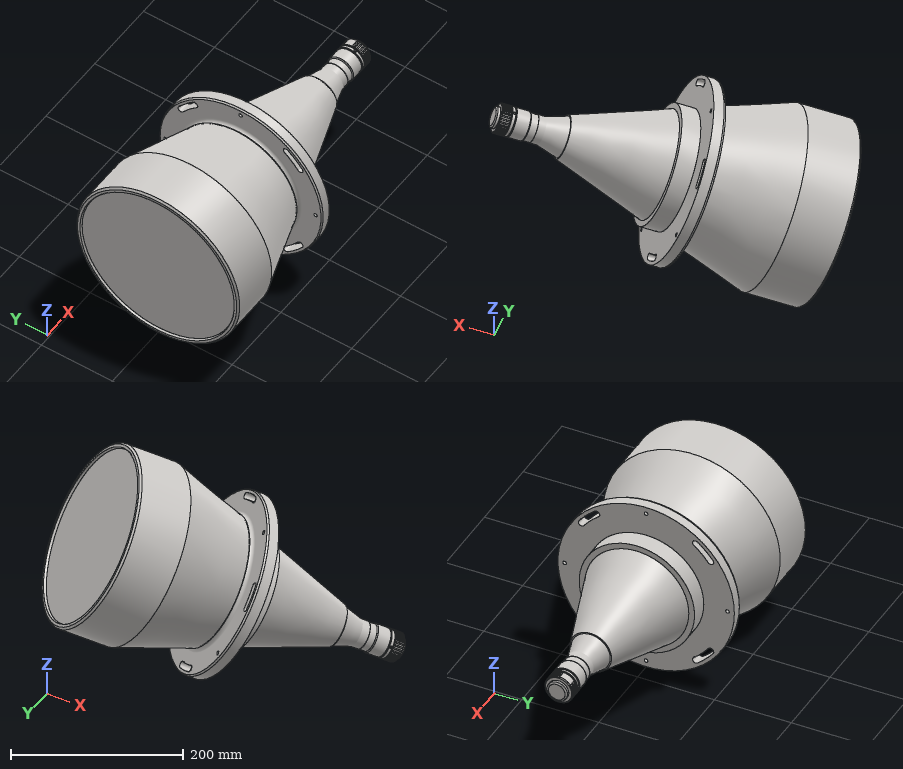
import cadquery as cq
import math

TOTAL_LENGTH = 417.0
OUTER_RADIUS = 230.0 / 2

LENS_RADIUS = 108.0
MOUTH_RADIUS = 109.0
LENS_RECESS = 3.5
LENS_THICKNESS = 8.5

FRONT_CYLINDER_END = 68.0
FRONT_CONE_END = 164.5
FRONT_CONE_END_RADIUS = 83.5
FRONT_CHAMFER = 2.5
FRONT_LIP_LENGTH = 1.3
HOUSING_END = FRONT_CONE_END + FRONT_LIP_LENGTH

NECK_RADIUS = 82.0
FLANGE_FRONT = 171.0
FLANGE_THICKNESS = 15.5
FLANGE_BACK = FLANGE_FRONT + FLANGE_THICKNESS
FLANGE_CHAMFER_LENGTH = 2.5
FLANGE_CHAMFER_DEPTH = 1.3
NECK_FILLET = 4.5
COLLAR_RADIUS = 75.0
COLLAR_END = 210.2

FLANGE_HOLE_COUNT = 4
HOLE_CIRCLE_RADIUS = 106.0
SLOT_WIDTH = 8.0
SLOT_SWEEP = 15.0
ROUND_HOLE_DIAMETER = 4.5

REAR_CONE_START_RADIUS = 67.5
REAR_CONE_END = 329.5
REAR_CONE_END_RADIUS = 27.0
NOSE_START_RADIUS = 25.5
NOSE_CONE_END = 356.2
NOSE_RADIUS = 17.5
NOSE_END = 366.2

RING_RADIUS = 17.0
RING_END = 375.5

MOUNT_RADIUS = 18.5
MOUNT_CHAMFER = 1.3
SLEEVE_GROOVE_START = 393.8
KNURL_GROOVE_START = 399.0
GROOVE_WIDTH = 1.3
GROOVE_DEPTH = 1.0
MOUNT_BACK = 412.5
THREAD_RADIUS = 13.5
THREAD_CHAMFER_LENGTH = 1.3
THREAD_CHAMFER_DEPTH = 2.5

SCREW_HOLE_COUNT = 3
SCREW_HOLE_FIRST_ANGLE = 20.0
SCREW_HOLE_DIAMETER = 3.0
SCREW_HOLE_DEPTH = 3.5

KNURL_START = KNURL_GROOVE_START + GROOVE_WIDTH
KNURL_PITCH = 12.0
KNURL_FIRST_ANGLE = 2.0
KNURL_COUNT = 26
KNURL_WIDTH = 2.0
KNURL_DEPTH = 1.0


def turned(profile):
    """Revolve a closed (x, radius) outline about the X axis."""
    return cq.Workplane("XY").polyline(profile).close().revolve(360, (0, 0, 0), (1, 0, 0))


def around_axis(body, angle):
    """Turn a body about the X axis; it starts on +Z and moves toward -Y."""
    return body.rotate((0, 0, 0), (1, 0, 0), angle)


def make_front_lens():
    return turned([
        (LENS_RECESS, 0),
        (LENS_RECESS, LENS_RADIUS),
        (LENS_RECESS + LENS_THICKNESS, LENS_RADIUS),
        (LENS_RECESS + LENS_THICKNESS, 0),
    ])


def make_front_housing():
    return turned([
        (LENS_RECESS + LENS_THICKNESS, 0),
        (LENS_RECESS + LENS_THICKNESS, LENS_RADIUS),
        (LENS_RECESS, LENS_RADIUS),
        (0, MOUTH_RADIUS),
        (0, OUTER_RADIUS - FRONT_CHAMFER),
        (FRONT_CHAMFER, OUTER_RADIUS),
        (FRONT_CYLINDER_END, OUTER_RADIUS),
        (FRONT_CONE_END, FRONT_CONE_END_RADIUS),
        (HOUSING_END, FRONT_CONE_END_RADIUS),
        (HOUSING_END, 0),
    ])


def make_arc_slot():
    """Cutter for one arc slot, centred on +Z."""
    half_sweep = math.radians(SLOT_SWEEP / 2)
    inner = HOLE_CIRCLE_RADIUS - SLOT_WIDTH / 2
    outer = HOLE_CIRCLE_RADIUS + SLOT_WIDTH / 2

    def at(radius, angle):
        return (radius * math.sin(angle), radius * math.cos(angle))

    tip_angle = half_sweep + SLOT_WIDTH / 2 / HOLE_CIRCLE_RADIUS
    return (
        cq.Workplane("YZ", origin=(FLANGE_FRONT, 0, 0))
        .moveTo(*at(outer, -half_sweep))
        .threePointArc(at(outer, 0), at(outer, half_sweep))
        .threePointArc(at(HOLE_CIRCLE_RADIUS, tip_angle), at(inner, half_sweep))
        .threePointArc(at(inner, 0), at(inner, -half_sweep))
        .threePointArc(at(HOLE_CIRCLE_RADIUS, -tip_angle), at(outer, -half_sweep))
        .close()
        .extrude(FLANGE_THICKNESS)
    )


def make_flange():
    fillet_mid = NECK_FILLET * (1 - math.sqrt(0.5))
    body = (
        cq.Workplane("XY")
        .moveTo(HOUSING_END, 0)
        .lineTo(HOUSING_END, NECK_RADIUS)
        .lineTo(FLANGE_FRONT - NECK_FILLET, NECK_RADIUS)
        .threePointArc(
            (FLANGE_FRONT - fillet_mid, NECK_RADIUS + fillet_mid),
            (FLANGE_FRONT, NECK_RADIUS + NECK_FILLET),
        )
        .lineTo(FLANGE_FRONT, OUTER_RADIUS - FLANGE_CHAMFER_DEPTH)
        .lineTo(FLANGE_FRONT + FLANGE_CHAMFER_LENGTH, OUTER_RADIUS)
        .lineTo(FLANGE_BACK, OUTER_RADIUS)
        .lineTo(FLANGE_BACK, COLLAR_RADIUS)
        .lineTo(COLLAR_END, COLLAR_RADIUS)
        .lineTo(COLLAR_END, 0)
        .close()
        .revolve(360, (0, 0, 0), (1, 0, 0))
    )
    round_hole = (
        cq.Workplane("YZ", origin=(FLANGE_FRONT, 0, HOLE_CIRCLE_RADIUS))
        .circle(ROUND_HOLE_DIAMETER / 2)
        .extrude(FLANGE_THICKNESS)
    )
    slot = make_arc_slot()
    spacing = 360 / FLANGE_HOLE_COUNT
    for index in range(FLANGE_HOLE_COUNT):
        body = body.cut(around_axis(round_hole, index * spacing))
        body = body.cut(around_axis(slot, (index + 0.5) * spacing))
    return body


def make_rear_cone():
    return turned([
        (COLLAR_END, 0),
        (COLLAR_END, REAR_CONE_START_RADIUS),
        (REAR_CONE_END, REAR_CONE_END_RADIUS),
        (REAR_CONE_END, NOSE_START_RADIUS),
        (NOSE_CONE_END, NOSE_RADIUS),
        (NOSE_END, NOSE_RADIUS),
        (NOSE_END, 0),
    ])


def make_spacer_ring():
    return turned([
        (NOSE_END, 0),
        (NOSE_END, RING_RADIUS),
        (RING_END, RING_RADIUS),
        (RING_END, 0),
    ])


def make_mount():
    groove_radius = MOUNT_RADIUS - GROOVE_DEPTH
    body = turned([
        (RING_END, 0),
        (RING_END, MOUNT_RADIUS - MOUNT_CHAMFER),
        (RING_END + MOUNT_CHAMFER, MOUNT_RADIUS),
        (SLEEVE_GROOVE_START, MOUNT_RADIUS),
        (SLEEVE_GROOVE_START, groove_radius),
        (SLEEVE_GROOVE_START + GROOVE_WIDTH, groove_radius),
        (SLEEVE_GROOVE_START + GROOVE_WIDTH, MOUNT_RADIUS),
        (KNURL_GROOVE_START, MOUNT_RADIUS),
        (KNURL_GROOVE_START, groove_radius),
        (KNURL_START, groove_radius),
        (KNURL_START, MOUNT_RADIUS),
        (MOUNT_BACK - MOUNT_CHAMFER, MOUNT_RADIUS),
        (MOUNT_BACK, MOUNT_RADIUS - MOUNT_CHAMFER),
        (MOUNT_BACK, THREAD_RADIUS),
        (TOTAL_LENGTH - THREAD_CHAMFER_LENGTH, THREAD_RADIUS),
        (TOTAL_LENGTH, THREAD_RADIUS - THREAD_CHAMFER_DEPTH),
        (TOTAL_LENGTH, 0),
    ])
    knurl_groove = cq.Workplane("XY").box(
        MOUNT_BACK - KNURL_START, KNURL_WIDTH, 2 * KNURL_DEPTH, centered=(False, True, True)
    ).translate((KNURL_START, 0, MOUNT_RADIUS))
    for index in range(KNURL_COUNT):
        body = body.cut(around_axis(knurl_groove, KNURL_FIRST_ANGLE + index * KNURL_PITCH))

    screw_hole_x = (SLEEVE_GROOVE_START + GROOVE_WIDTH + KNURL_GROOVE_START) / 2
    screw_hole = (
        cq.Workplane("XY", origin=(screw_hole_x, 0, MOUNT_RADIUS - SCREW_HOLE_DEPTH))
        .circle(SCREW_HOLE_DIAMETER / 2)
        .extrude(2 * SCREW_HOLE_DEPTH)
    )
    for index in range(SCREW_HOLE_COUNT):
        angle = SCREW_HOLE_FIRST_ANGLE + index * 360 / SCREW_HOLE_COUNT
        body = body.cut(around_axis(screw_hole, angle))
    return body


front_lens = make_front_lens()
front_housing = make_front_housing()
flange = make_flange()
rear_cone = make_rear_cone()
spacer_ring = make_spacer_ring()
mount = make_mount()

result = cq.Compound.makeCompound([
    front_lens.val(),
    front_housing.val(),
    flange.val(),
    rear_cone.val(),
    spacer_ring.val(),
    mount.val(),
])